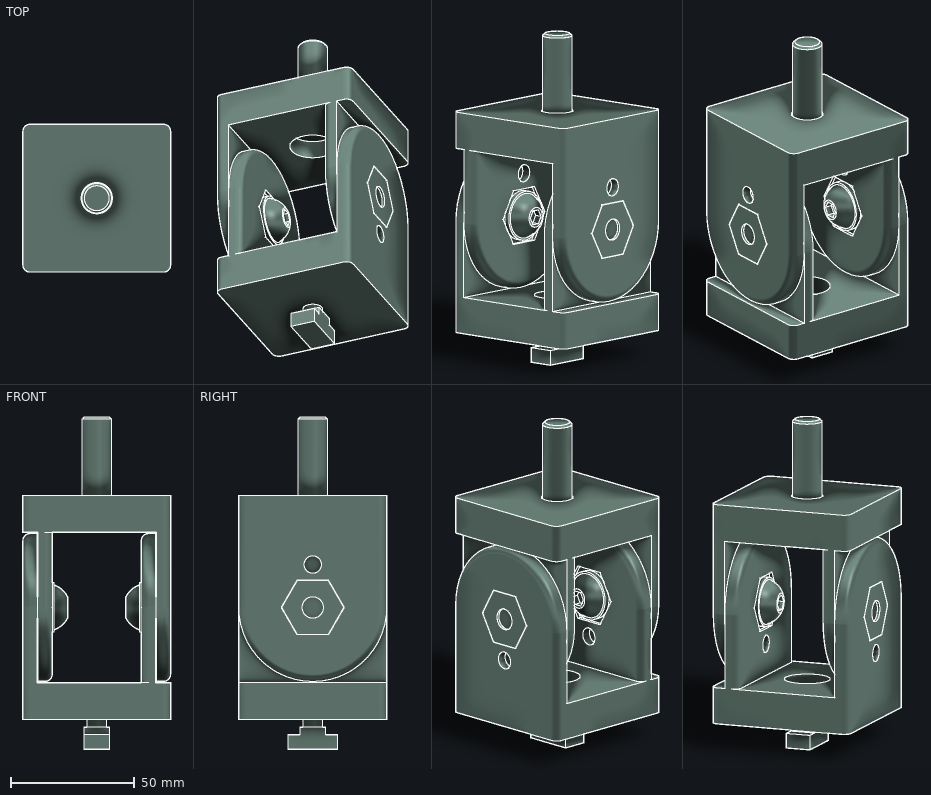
import cadquery as cq
import math

TOTAL_HEIGHT = 134.8
WIDTH = 60.0
BASE_HEIGHT = 15.0
COUNTERBORE_DIAMETER = 18.6
COUNTERBORE_DEPTH = 7.5
EDGE_RADIUS = 3.0
ARM_THICKNESS = 5.9
ARM_GAP = 0.1
PIVOT_TO_BASE = 30.5

HEX_FLATS = 22.1
POCKET_DEPTH = 1.5
PIN_HOLE_DIAMETER = 7.0
PIN_HOLE_DEPTH = 3.8
PIN_HOLE_OFFSET = 17.4

BOLT_DIAMETER = 8.6
BOLT_END_RECESS = 1.1
NUT_FLATS = 21.8
FLANGE_DIAMETER = 20.1
FLANGE_STANDOUT = 0.7
HEAD_DIAMETER = 18.3
HEAD_TIP_DIAMETER = 8.1
HEAD_HEIGHT = 5.7
SOCKET_FLATS = 5.7
SOCKET_DEPTH = 3.0

STUD_DIAMETER = 12.0
STUD_CHAMFER = 1.0
STUD_RECESS_DIAMETER = 12.7
STUD_RECESS_DEPTH = 1.3

FOOT_WIDTH = 10.4
FOOT_LENGTH = 20.2
FOOT_HEIGHT = 6.0
NECK_HEIGHT = 3.0
SHANK_DIAMETER = 8.0
SHANK_HEIGHT = 3.1

HALF_WIDTH = WIDTH / 2
BASE_BOTTOM = FOOT_HEIGHT + NECK_HEIGHT + SHANK_HEIGHT
BASE_TOP = BASE_BOTTOM + BASE_HEIGHT
PIVOT_Z = BASE_TOP + PIVOT_TO_BASE
UPPER_BASE_TOP = PIVOT_Z + PIVOT_TO_BASE + BASE_HEIGHT

OUTER_ARM_X = -HALF_WIDTH
INNER_ARM_X = HALF_WIDTH - 2 * ARM_THICKNESS - ARM_GAP
HEAD_SEAT_X = -INNER_ARM_X


def pivot_plane(x):
    """Plane facing +X at x, centred on the pivot axis, with local X along Y and local Y along Z."""
    return cq.Workplane("YZ", origin=(x, 0, PIVOT_Z))


def hexagon(x, flats, depth):
    """Hexagonal prism on the pivot axis with flats at top and bottom."""
    corner_diameter = flats / math.cos(math.pi / 6)
    return pivot_plane(x).polygon(6, corner_diameter).extrude(depth)


def round_bar(x_start, x_end, diameter):
    """Cylinder on the pivot axis."""
    return pivot_plane(x_start).circle(diameter / 2).extrude(x_end - x_start)


def arm(x, bottom_z):
    """Round-ended arm whose rounded face, with the hex pocket, lies at x and faces -X."""
    drop = bottom_z - PIVOT_Z
    plate = (
        pivot_plane(x)
        .moveTo(-HALF_WIDTH, drop)
        .lineTo(-HALF_WIDTH, 0)
        .threePointArc((0, HALF_WIDTH), (HALF_WIDTH, 0))
        .lineTo(HALF_WIDTH, drop)
        .close()
        .extrude(ARM_THICKNESS)
    )
    plate = plate.faces("<X").edges("not <Z").fillet(EDGE_RADIUS)
    pin_hole = (
        pivot_plane(x)
        .center(0, -PIN_HOLE_OFFSET)
        .circle(PIN_HOLE_DIAMETER / 2)
        .extrude(PIN_HOLE_DEPTH)
    )
    return plate.cut(hexagon(x, HEX_FLATS, POCKET_DEPTH)).cut(pin_hole)


def yoke():
    """Lower yoke: base block with one arm flush on the left and one set in on the right."""
    base = (
        cq.Workplane("XY", origin=(0, 0, BASE_BOTTOM))
        .rect(WIDTH, WIDTH)
        .extrude(BASE_HEIGHT)
        .edges("|Z")
        .fillet(EDGE_RADIUS)
    )
    counterbore = (
        cq.Workplane("XY", origin=(0, 0, BASE_TOP - COUNTERBORE_DEPTH))
        .circle(COUNTERBORE_DIAMETER / 2)
        .extrude(COUNTERBORE_DEPTH)
    )
    return base.cut(counterbore).union(arm(OUTER_ARM_X, BASE_BOTTOM)).union(arm(INNER_ARM_X, BASE_TOP))


def bolt():
    """Bolt through the left pair of arms, with its nut outside and its head inside."""
    nut = hexagon(OUTER_ARM_X, NUT_FLATS, POCKET_DEPTH)
    nut = nut.cut(round_bar(OUTER_ARM_X, OUTER_ARM_X + BOLT_END_RECESS, BOLT_DIAMETER))
    dome_x = HEAD_SEAT_X + FLANGE_STANDOUT
    tip_x = dome_x + HEAD_HEIGHT
    shank = round_bar(OUTER_ARM_X + BOLT_END_RECESS, dome_x, BOLT_DIAMETER)
    flange = round_bar(HEAD_SEAT_X - POCKET_DEPTH, dome_x, FLANGE_DIAMETER)
    return nut.union(shank).union(flange).union(dome_head(dome_x, tip_x))


def dome_head(dome_x, tip_x):
    """Spherical zone from dome_x to the flat tip at tip_x, with a hex socket in the tip."""
    base_radius = HEAD_DIAMETER / 2
    tip_radius = HEAD_TIP_DIAMETER / 2
    centre_offset = (base_radius**2 - tip_radius**2 - HEAD_HEIGHT**2) / (2 * HEAD_HEIGHT)
    sphere_radius = math.hypot(base_radius, centre_offset)
    mid_x = HEAD_HEIGHT / 2
    mid_radius = math.sqrt(sphere_radius**2 - (mid_x + centre_offset) ** 2)
    profile = (
        cq.Workplane("XY", origin=(dome_x, 0, PIVOT_Z))
        .lineTo(0, base_radius)
        .threePointArc((mid_x, mid_radius), (HEAD_HEIGHT, tip_radius))
        .lineTo(HEAD_HEIGHT, 0)
        .close()
    )
    dome = profile.revolve(360, (0, 0, 0), (1, 0, 0))
    return dome.cut(hexagon(tip_x - SOCKET_DEPTH, SOCKET_FLATS, SOCKET_DEPTH))


def stud():
    """Chamfered stud, reaching down to the floor of the clearance ring around it."""
    root_z = UPPER_BASE_TOP - STUD_RECESS_DEPTH
    return (
        cq.Workplane("XY", origin=(0, 0, root_z))
        .circle(STUD_DIAMETER / 2)
        .extrude(TOTAL_HEIGHT - root_z)
        .faces(">Z")
        .chamfer(STUD_CHAMFER)
    )


def stud_recess():
    """Shallow round recess in the upper base that the stud stands in."""
    return (
        cq.Workplane("XY", origin=(0, 0, UPPER_BASE_TOP - STUD_RECESS_DEPTH))
        .circle(STUD_RECESS_DIAMETER / 2)
        .extrude(STUD_RECESS_DEPTH)
    )


def foot():
    """T-shaped foot: slab, square neck and round shank up to the lower base."""
    foot_slab = cq.Workplane("XY").rect(FOOT_WIDTH, FOOT_LENGTH).extrude(FOOT_HEIGHT)
    with_neck = foot_slab.faces(">Z").workplane().rect(FOOT_WIDTH, FOOT_WIDTH).extrude(NECK_HEIGHT)
    return with_neck.faces(">Z").workplane().circle(SHANK_DIAMETER / 2).extrude(SHANK_HEIGHT)


lower_half = yoke().union(bolt())
upper_half = lower_half.rotate((0, 0, PIVOT_Z), (0, 1, PIVOT_Z), 180)
result = lower_half.union(upper_half).cut(stud_recess()).union(stud()).union(foot())